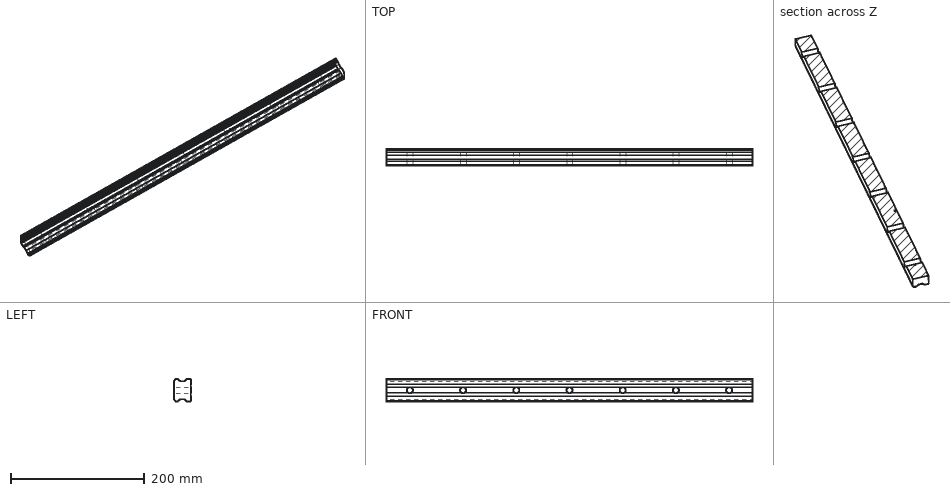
import cadquery as cq

length = 550.0
depth = 26.0
width = 34.0
half_width = width / 2
base_y = -depth / 2
head_y = depth / 2

base_chamfer = 1.4
flange_top = base_y + 6.5

waist_inset = 3.5
waist_half_width = half_width - waist_inset
waist_start = base_y + 10.0
waist_end = base_y + 16.0

ramp_end = base_y + 17.0
ramp_rise = 0.5
land_start = base_y + 20.5
bevel_length = 3.0
bevel_drop = 3.5

groove_inner = 4.1
groove_width = 5.0
groove_depth = 0.45

hole_count = 7
hole_diameter = 9.0
hole_end_margin = 35.0
hole_pitch = (length - 2 * hole_end_margin) / (hole_count - 1)


def make_rail():
    """Extrude the rail section, symmetric about Z = 0, along X."""
    upper_half = [
        (base_y, half_width - base_chamfer),
        (base_y + base_chamfer, half_width),
        (flange_top, half_width),
        (waist_start, waist_half_width),
        (waist_end, waist_half_width),
        (ramp_end, waist_half_width + ramp_rise),
        (land_start, half_width),
        (head_y - bevel_length, half_width),
        (head_y, half_width - bevel_drop),
    ]
    lower_half = [(y, -z) for y, z in reversed(upper_half)]
    section = cq.Workplane("YZ").polyline(upper_half + lower_half).close()
    return section.extrude(length / 2, both=True)


def make_groove(side):
    """Full-length groove cutter on the +Z (side = 1) or -Z (side = -1) half."""
    groove_center = side * (groove_inner + groove_width / 2)
    cutter = cq.Workplane("XY").box(length, 2 * groove_depth, groove_width)
    return cutter.translate((0, base_y, groove_center))


def make_holes():
    """Row of through-hole cutters centred on the rail."""
    row = cq.Workplane("XZ").rarray(hole_pitch, 5.5, hole_count, 1)
    return row.circle(hole_diameter / 2).extrude(depth, both=True)


result = make_rail()
for side in (1, -1):
    result = result.cut(make_groove(side))
result = result.cut(make_holes())